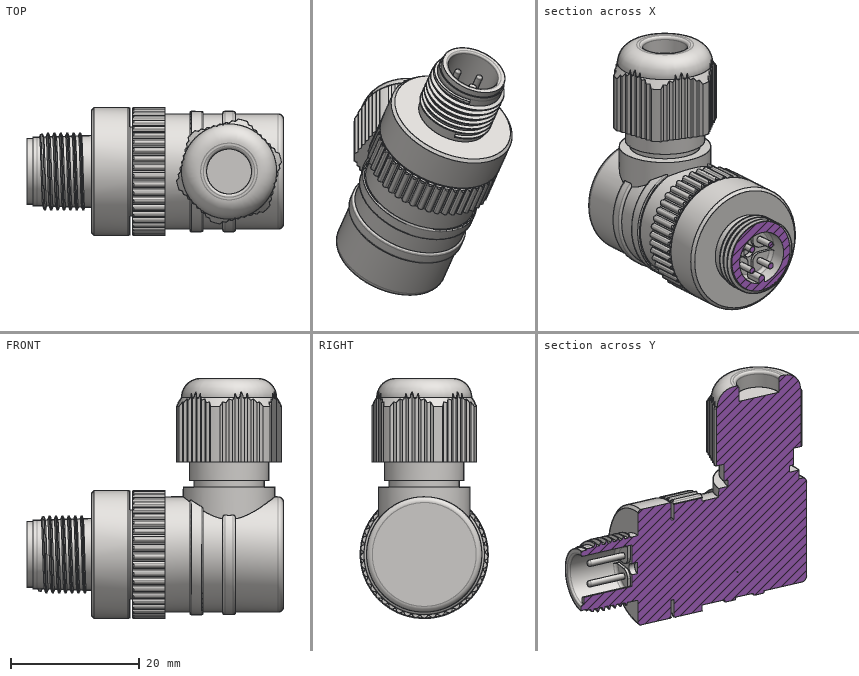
import cadquery as cq
import math


SLEEVE_TIP_DIAMETER = 10.3
SLEEVE_DIAMETER = 10.7
SLEEVE_REAR_DIAMETER = 11.25
SLEEVE_TIP_LENGTH = 0.95
TAPER_START = 1.6
THREAD_DIAMETER = 12.0
THREAD_PITCH = 1.0
THREAD_TURNS = 7
THREAD_START = 2.05
THREAD_CREST_WIDTH = 0.16
THREAD_BASE_WIDTH = 0.85
THREAD_EMBED = 0.25
THREAD_LEAD_IN = 0.8
THREAD_LEAD_IN_DIAMETER = 11.2

SOCKET_DIAMETER = 8.3
SOCKET_DEPTH = 8.5
MOUTH_FILLET = 0.35
FLOOR_FILLET = 0.5
CROSS_WIDTH = 0.92
CROSS_DEPTH = 0.5
CENTRE_HOLE_DIAMETER = 1.85
CENTRE_HOLE_DEPTH = 1.0
PIN_DIAMETER = 1.0
PIN_OFFSET = 1.76
PIN_TIP_X = 2.15
PIN_TIP_FILLET = 0.35
KEY_WIDTH = 1.17
KEY_CREST_RADIUS = 2.9
KEY_START_X = 0.5

NUT_DIAMETER = 20.0
RING_START = 10.05
RING_END = 16.05
RING_FRONT_CHAMFER = 0.45
RING_REAR_CHAMFER_LENGTH = 0.25
RING_REAR_CHAMFER_HEIGHT = 0.1
NECK_DIAMETER = 13.9
KNURL_START = 16.45
KNURL_END = 21.55
KNURL_CHAMFER_LENGTH = 0.3
KNURL_CHAMFER_HEIGHT = 0.15
TOOTH_COUNT = 45
TOOTH_ROOT_RADIUS = 9.55
TOOTH_SHOULDER_RADIUS = 9.85
TOOTH_SHOULDER_HALF_ANGLE = 1.9
TOOTH_BASE_HALF_ANGLE = 3.2

BODY_DIAMETER = 18.0
BODY_END = 40.05
BODY_END_FILLET = 0.9
RIB_DIAMETER = 18.8
RIB_WIDTH = 2.0
FRONT_RIB_X = 26.47
FRONT_RIB_FILLET = 0.2
REAR_RIB_FILLET = 0.35

OUTLET_X = 31.53
OUTLET_DIAMETER = 14.3
OUTLET_TOP = 10.5
GROOVE_DIAMETER = 11.0
GROOVE_TOP = 11.5
COLLAR_DIAMETER = 12.4
CAP_BOTTOM = 14.4
CAP_TOP = 27.45

DOME_DIAMETER = 14.85
DOME_FILLET = 3.0
GRIP_RADIUS = 8.3
GRIP_CONE_BASE = 23.1
GRIP_SIDES = 6
GRIP_CORNER_ANGLE = 15.0
GRIP_CORNER_HALF_ANGLE = 5.2
GRIP_GROOVES = 7
GRIP_GROOVE_DEPTH = 0.25
CABLE_HOLE_DIAMETER = 7.0
CABLE_HOLE_FLOOR = 24.7
CABLE_HOLE_FILLET = 0.5


def rod_x(diameter, start, end, y=0.0, z=0.0):
    """Cylinder parallel to X."""
    base = cq.Workplane("YZ", origin=(start, y, z))
    return base.circle(diameter / 2).extrude(end - start)


def rod_z(diameter, bottom, top):
    """Cylinder on the cable outlet axis."""
    base = cq.Workplane("XY", origin=(OUTLET_X, 0, bottom))
    return base.circle(diameter / 2).extrude(top - bottom)


def turned_x(points):
    """Solid of revolution about X from (x, radius) points."""
    return cq.Workplane("XY").polyline(points).close().revolve(360, (0, 0), (1, 0))


def polar(radius, degrees):
    angle = math.radians(degrees)
    return radius * math.cos(angle), radius * math.sin(angle)


def make_thread():
    """Right-handed helical ridge."""
    length = THREAD_TURNS * THREAD_PITCH
    root_radius = SLEEVE_DIAMETER / 2 - THREAD_EMBED
    crest_radius = THREAD_DIAMETER / 2
    helix = cq.Wire.makeHelix(THREAD_PITCH, length, root_radius)
    ridge = (
        cq.Workplane("XZ")
        .polyline([
            (root_radius, -THREAD_BASE_WIDTH / 2),
            (crest_radius, -THREAD_CREST_WIDTH / 2),
            (crest_radius, THREAD_CREST_WIDTH / 2),
            (root_radius, THREAD_BASE_WIDTH / 2),
        ])
        .close()
        .sweep(cq.Workplane(obj=helix), isFrenet=True)
    )
    return ridge.rotate((0, 0, 0), (0, 1, 0), 90).translate((THREAD_START, 0, 0))


def make_lead_in():
    """Ring outside the cone that lowers the first thread turn."""
    start = THREAD_START - THREAD_BASE_WIDTH / 2
    end = THREAD_START + THREAD_LEAD_IN
    outer_radius = THREAD_DIAMETER / 2 + THREAD_LEAD_IN
    return turned_x([
        (start, THREAD_LEAD_IN_DIAMETER / 2),
        (end, THREAD_DIAMETER / 2),
        (end, outer_radius),
        (start, outer_radius),
    ])


def make_sleeve():
    core = turned_x([
        (0, 0),
        (0, SLEEVE_TIP_DIAMETER / 2),
        (SLEEVE_TIP_LENGTH, SLEEVE_TIP_DIAMETER / 2),
        (SLEEVE_TIP_LENGTH, SLEEVE_DIAMETER / 2),
        (TAPER_START, SLEEVE_DIAMETER / 2),
        (RING_START, SLEEVE_REAR_DIAMETER / 2),
        (RING_START, 0),
    ])
    return core.union(make_thread()).cut(make_lead_in())


def make_ring():
    radius = NUT_DIAMETER / 2
    return turned_x([
        (RING_START, 0),
        (RING_START, radius - RING_FRONT_CHAMFER),
        (RING_START + RING_FRONT_CHAMFER, radius),
        (RING_END - RING_REAR_CHAMFER_LENGTH, radius),
        (RING_END, radius - RING_REAR_CHAMFER_HEIGHT),
        (RING_END, 0),
    ])


def make_knurl():
    """Ring of round-crested teeth with a groove at the top."""
    pitch_angle = 360 / TOOTH_COUNT
    first_angle = 90 + pitch_angle / 2
    outline = cq.Workplane("YZ", origin=(KNURL_START, 0, 0))
    outline = outline.moveTo(*polar(TOOTH_ROOT_RADIUS, first_angle - TOOTH_BASE_HALF_ANGLE))
    for index in range(TOOTH_COUNT):
        middle = first_angle + index * pitch_angle
        next_base = middle + pitch_angle - TOOTH_BASE_HALF_ANGLE
        outline = outline.lineTo(*polar(TOOTH_SHOULDER_RADIUS, middle - TOOTH_SHOULDER_HALF_ANGLE))
        outline = outline.threePointArc(
            polar(NUT_DIAMETER / 2, middle),
            polar(TOOTH_SHOULDER_RADIUS, middle + TOOTH_SHOULDER_HALF_ANGLE),
        )
        outline = outline.lineTo(*polar(TOOTH_ROOT_RADIUS, middle + TOOTH_BASE_HALF_ANGLE))
        if index < TOOTH_COUNT - 1:
            outline = outline.lineTo(*polar(TOOTH_ROOT_RADIUS, next_base))
    teeth = outline.close().extrude(KNURL_END - KNURL_START)
    radius = NUT_DIAMETER / 2
    envelope = turned_x([
        (KNURL_START, 0),
        (KNURL_START, radius - KNURL_CHAMFER_HEIGHT),
        (KNURL_START + KNURL_CHAMFER_LENGTH, radius),
        (KNURL_END, radius),
        (KNURL_END, 0),
    ])
    return teeth.intersect(envelope)


def make_body():
    body = rod_x(BODY_DIAMETER, KNURL_END, BODY_END)
    body = body.faces(">X").edges().fillet(BODY_END_FILLET)
    for middle, fillet in ((FRONT_RIB_X, FRONT_RIB_FILLET), (OUTLET_X, REAR_RIB_FILLET)):
        rib = rod_x(RIB_DIAMETER, middle - RIB_WIDTH / 2, middle + RIB_WIDTH / 2)
        body = body.union(rib.edges("%CIRCLE").fillet(fillet))
    return body


def make_outlet():
    outlet = rod_z(OUTLET_DIAMETER, 0, OUTLET_TOP)
    outlet = outlet.union(rod_z(GROOVE_DIAMETER, OUTLET_TOP, GROOVE_TOP))
    return outlet.union(rod_z(COLLAR_DIAMETER, GROOVE_TOP, CAP_BOTTOM))


def make_grip_prism():
    """Six-sided prism with round corners and zigzag sides."""
    side_angle = 360 / GRIP_SIDES
    half_side_angle = side_angle / 2 - GRIP_CORNER_HALF_ANGLE
    side_distance, half_side = polar(GRIP_RADIUS, half_side_angle)
    groove_pitch = 2 * half_side / GRIP_GROOVES
    outline = cq.Workplane("XY", origin=(OUTLET_X, 0, CAP_BOTTOM))
    outline = outline.moveTo(*polar(GRIP_RADIUS, GRIP_CORNER_ANGLE - GRIP_CORNER_HALF_ANGLE))
    for side in range(GRIP_SIDES):
        corner = GRIP_CORNER_ANGLE + side * side_angle
        outline = outline.threePointArc(
            polar(GRIP_RADIUS, corner),
            polar(GRIP_RADIUS, corner + GRIP_CORNER_HALF_ANGLE),
        )
        normal_x, normal_y = polar(1, corner + side_angle / 2)
        last_side = side == GRIP_SIDES - 1
        steps = 2 * GRIP_GROOVES - 1 if last_side else 2 * GRIP_GROOVES
        for step in range(1, steps + 1):
            along = step * groove_pitch / 2 - half_side
            out = side_distance - GRIP_GROOVE_DEPTH * (step % 2)
            x = out * normal_x - along * normal_y
            y = out * normal_y + along * normal_x
            outline = outline.lineTo(x, y)
    return outline.close().extrude(CAP_TOP - CAP_BOTTOM)


def make_cap():
    """Domed clamping cap with a blind cable hole."""
    dome_radius = DOME_DIAMETER / 2
    dome_base = CAP_TOP - DOME_FILLET
    dome_top_radius = dome_radius - DOME_FILLET
    diagonal = DOME_FILLET * math.sqrt(0.5)
    profile = (
        cq.Workplane("XZ", origin=(OUTLET_X, 0, 0))
        .moveTo(0, CAP_BOTTOM)
        .lineTo(GRIP_RADIUS, CAP_BOTTOM)
        .lineTo(GRIP_RADIUS, GRIP_CONE_BASE)
        .lineTo(dome_radius, dome_base)
        .threePointArc((dome_top_radius + diagonal, dome_base + diagonal), (dome_top_radius, CAP_TOP))
        .lineTo(0, CAP_TOP)
        .close()
    )
    cap = profile.revolve(360, (0, 0), (0, 1)).intersect(make_grip_prism())
    cap = cap.cut(rod_z(CABLE_HOLE_DIAMETER, CABLE_HOLE_FLOOR, CAP_TOP))
    hole_rim = cq.selectors.RadiusNthSelector(0)
    return cap.faces(">Z").edges(hole_rim).fillet(CABLE_HOLE_FILLET)


def make_socket_cavity():
    """Open socket with a cross-shaped recess in its floor."""
    cavity = rod_x(SOCKET_DIAMETER, 0, SOCKET_DEPTH)
    cavity = cavity.faces(">X").edges().fillet(FLOOR_FILLET)
    radius = SOCKET_DIAMETER / 2
    mouth = (
        cq.Workplane("XY")
        .lineTo(0, radius + MOUTH_FILLET)
        .radiusArc((MOUTH_FILLET, radius), -MOUTH_FILLET)
        .lineTo(MOUTH_FILLET, 0)
        .close()
        .revolve(360, (0, 0), (1, 0))
    )
    recess_start = SOCKET_DEPTH - FLOOR_FILLET
    recess_end = SOCKET_DEPTH + CROSS_DEPTH
    recess_length = recess_end - recess_start
    recess = cq.Workplane("YZ", origin=(recess_start, 0, 0))
    cross = recess.rect(SOCKET_DIAMETER, CROSS_WIDTH).extrude(recess_length)
    cross = cross.union(recess.rect(CROSS_WIDTH, SOCKET_DIAMETER).extrude(recess_length))
    inner_edges = cq.selectors.BoxSelector(
        (recess_start, -CROSS_WIDTH, -CROSS_WIDTH),
        (recess_end, CROSS_WIDTH, CROSS_WIDTH),
    )
    cross = cross.edges("|X").edges(inner_edges).fillet(PIN_OFFSET - CROSS_WIDTH / 2)
    cross = cross.intersect(rod_x(SOCKET_DIAMETER, recess_start, recess_end))
    centre_hole = rod_x(CENTRE_HOLE_DIAMETER, recess_end, recess_end + CENTRE_HOLE_DEPTH)
    return cavity.union(mouth).union(cross).union(centre_hole)


def add_contacts(part):
    """Four contact pins and the round-topped coding key."""
    for y in (-PIN_OFFSET, PIN_OFFSET):
        for z in (-PIN_OFFSET, PIN_OFFSET):
            pin = rod_x(PIN_DIAMETER, PIN_TIP_X, RING_START, y, z)
            part = part.union(pin.faces("<X").edges().fillet(PIN_TIP_FILLET))
    key_foot = -(SLEEVE_TIP_DIAMETER + SOCKET_DIAMETER) / 4
    key_centre = -KEY_CREST_RADIUS - KEY_WIDTH / 2
    key = (
        cq.Workplane("YZ", origin=(KEY_START_X, 0, 0))
        .moveTo(-KEY_WIDTH / 2, key_foot)
        .lineTo(-KEY_WIDTH / 2, key_centre)
        .threePointArc((0, -KEY_CREST_RADIUS), (KEY_WIDTH / 2, key_centre))
        .lineTo(KEY_WIDTH / 2, key_foot)
        .close()
        .extrude(RING_START - KEY_START_X)
    )
    return part.union(key)


plug = make_sleeve()
plug = plug.union(make_ring())
plug = plug.cut(make_socket_cavity())
plug = add_contacts(plug)
plug = plug.union(rod_x(NECK_DIAMETER, RING_END, KNURL_START))
plug = plug.union(make_knurl())
plug = plug.union(make_body())
plug = plug.union(make_outlet())
result = plug.union(make_cap())